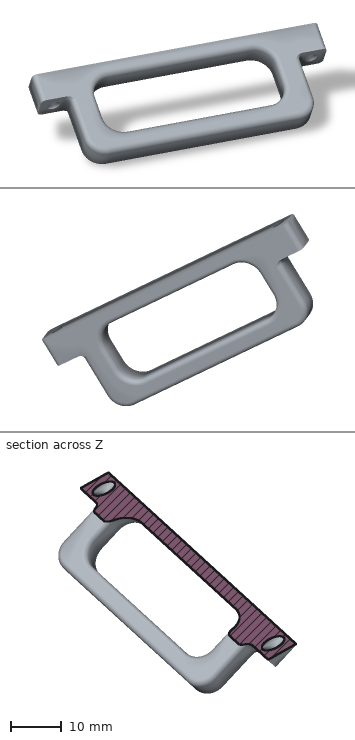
import cadquery as cq

length = 60.0
depth = 20.0
thickness = 5.5
tilt_angle = 30.0
edge_radius = 1.0

bar_depth = 6.1
grip_length = 48.0
grip_corner_radius = 4.0

bar_web = 3.0
grip_web = 4.0
opening_length = 38.0
opening_corner_radius = 4.0

hole_diameter = 2.6
hole_spacing = 54.0


def make_bar():
    """Bar with rounded long-side corners and sharp front and back faces."""
    bar = cq.Workplane("XY").box(bar_depth, length, thickness, centered=(False, True, True))
    return bar.edges("|X").fillet(edge_radius)


def make_grip():
    """Plate with rounded outer corners and rims, overlapping the back of the bar."""
    grip_start = bar_depth / 2
    grip = cq.Workplane("XY").box(
        depth - grip_start, grip_length, thickness, centered=(False, True, True)
    )
    grip = grip.translate((grip_start, 0, 0))
    grip = grip.edges("|Z and >X").fillet(grip_corner_radius)
    return grip.faces("|Z").edges("not <X").fillet(edge_radius)


def flare_profile(side, height):
    """Concave corner section at one grip side, reaching in to the rim's center line."""
    rim_center_y = side * (grip_length / 2 - edge_radius)
    grip_side_y = side * grip_length / 2
    flare_end_x = bar_depth + edge_radius
    return (
        cq.Workplane("XY", origin=(0, 0, height))
        .moveTo(bar_depth, rim_center_y)
        .lineTo(bar_depth, grip_side_y + side * edge_radius)
        .radiusArc((flare_end_x, grip_side_y), -side * edge_radius)
        .lineTo(flare_end_x, rim_center_y)
        .close()
    )


def make_flare(side):
    """Concave fillet from the bar to one grip side, following its rounded rims."""
    rim_center_y = side * (grip_length / 2 - edge_radius)
    rim_center_z = thickness / 2 - edge_radius
    flare = flare_profile(side, -rim_center_z).extrude(2 * rim_center_z)
    for height in (-rim_center_z, rim_center_z):
        profile = flare_profile(side, height)
        flare = flare.union(profile.revolve(360, (0, rim_center_y, 0), (1, rim_center_y, 0)))
    return flare.intersect(cq.Workplane("XY").box(2 * depth, length, thickness))


def cut_opening(body):
    """Cut the finger opening and round its rim on both faces."""
    width = depth - bar_web - grip_web
    opening = (
        cq.Workplane("XY")
        .box(width, opening_length, thickness)
        .edges("|Z")
        .fillet(opening_corner_radius)
        .translate((bar_web + width / 2, 0, 0))
    )
    body = body.cut(opening)
    rim_zone = cq.selectors.BoxSelector(
        (bar_web / 2, -(opening_length + edge_radius) / 2, -thickness),
        (depth - grip_web / 2, (opening_length + edge_radius) / 2, thickness),
        boundingbox=True,
    )
    return body.faces("<Z or >Z").edges(rim_zone).fillet(edge_radius)


def make_holes():
    """Two holes running through the bar from front to back."""
    return (
        cq.Workplane("YZ")
        .pushPoints([(-hole_spacing / 2, 0), (hole_spacing / 2, 0)])
        .circle(hole_diameter / 2)
        .extrude(bar_depth)
    )


handle = make_bar().union(make_grip())
for side in (-1, 1):
    handle = handle.union(make_flare(side))
handle = cut_opening(handle)
handle = handle.cut(make_holes())
result = handle.rotate((0, 0, 0), (0, 1, 0), tilt_angle)